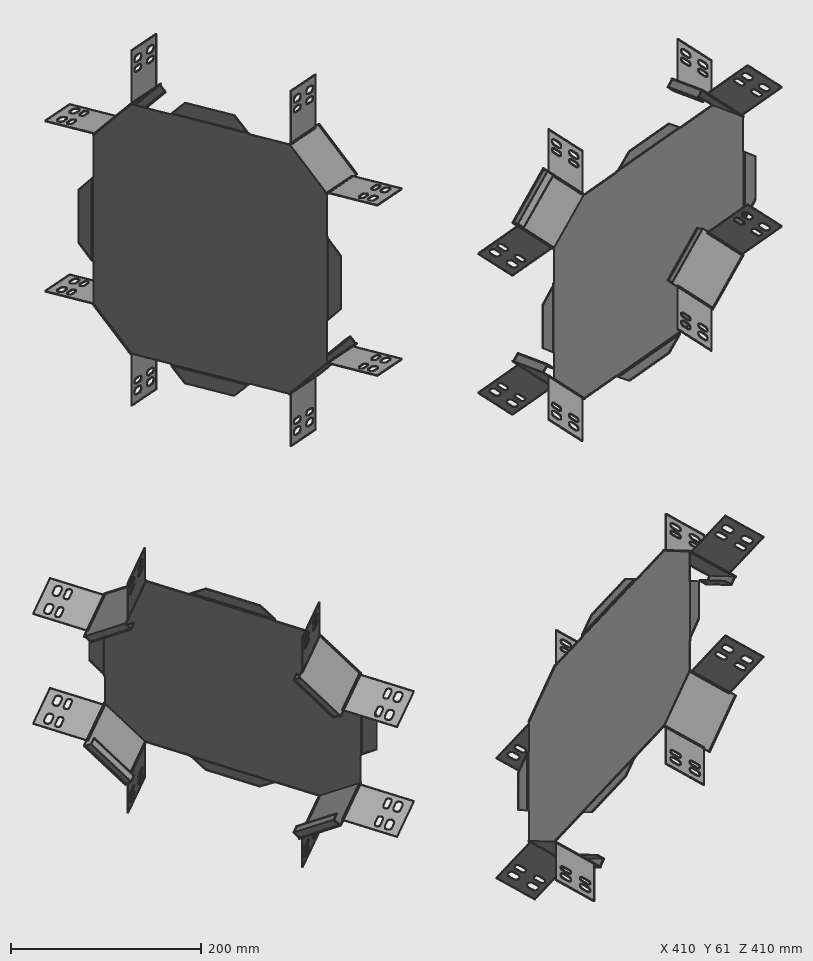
import cadquery as cq
import math

overall_size = 410.0
overall_depth = 61.0
sheet = 1.0
plate_half = 144.0
corner_half = 98.8

lip_width = 10.5
lip_return = 9.0

tab_width = 49.5
tab_front = 2.5
slot_length = 13.5
slot_pitch = 25.0
slot_shift = 0.5
slot_rows = ((13.0, 7.8), (25.0, 6.0))

flap_end = 162.0
flap_end_half_width = 30.5
flap_base_half_width = 50.0
joggle_start = 144.5
joggle_run = sheet

overall_half = overall_size / 2
depth = overall_depth - sheet
side_count = 4


def prism(points, y_start, y_end):
    """Extrude an XZ outline from y_start to y_end."""
    outline = cq.Workplane("XZ", origin=(0, y_start, 0)).polyline(points).close()
    return outline.extrude(y_start - y_end)


def make_plate():
    """Square plate with its four corners cut off."""
    chamfer = plate_half - corner_half
    plate = cq.Workplane("XY").box(2 * plate_half, sheet, 2 * plate_half, centered=(True, False, True))
    return plate.edges("|Y").chamfer(chamfer)


def corner_strip(offset_start, offset_end, y_start, y_end, overrun=0):
    """Strip along the +X +Z chamfer, between two distances inward from it.

    Each end passes the plate corner by the overrun, measured along X and Z.
    """
    shift_start = offset_start / math.sqrt(2)
    shift_end = offset_end / math.sqrt(2)
    far = plate_half + overrun
    near = corner_half - overrun
    points = [
        (far - shift_start, near - shift_start),
        (near - shift_start, far - shift_start),
        (near - shift_end, far - shift_end),
        (far - shift_end, near - shift_end),
    ]
    return prism(points, y_start, y_end)


def make_corner_wall():
    """Wall standing on the chamfer, reaching the inner faces of its tabs, with its folded lip."""
    wall = corner_strip(0, sheet, 0, depth, overrun=sheet)
    lip = corner_strip(0, lip_width, depth - sheet, depth)
    lip_edge = corner_strip(lip_width - sheet, lip_width, depth - lip_return, depth)
    return wall.union(lip).union(lip_edge)


def make_tab():
    """Tab running out along +X from the lower end of the +X +Z corner wall."""
    tab_start = plate_half - sheet
    tab_back = tab_front + tab_width
    tab = cq.Workplane("XY").box(
        overall_half - tab_start, tab_width, sheet, centered=False
    ).translate((tab_start, tab_front, corner_half - sheet))
    slot_middle = (tab_front + tab_back) / 2 + slot_shift
    for end_distance, slot_width in slot_rows:
        slots = (
            cq.Workplane("XY", origin=(overall_half - end_distance, slot_middle, corner_half - sheet))
            .rarray(4, slot_pitch, 1, 2)
            .slot2D(slot_length, slot_width, 90)
            .extrude(sheet)
        )
        tab = tab.cut(slots)
    return tab


def make_flap():
    """Trapezoidal flap on the +Z side of the plate."""
    joggle_end = joggle_start + joggle_run
    flap_base = plate_half - sheet
    profile = [
        (0, flap_base),
        (0, joggle_start),
        (-sheet, joggle_end),
        (-sheet, flap_end),
        (0, flap_end),
        (0, joggle_end),
        (sheet, joggle_start),
        (sheet, flap_base),
    ]
    bent_strip = cq.Workplane("YZ").polyline(profile).close().extrude(flap_base_half_width, both=True)
    outline = [
        (-flap_base_half_width, flap_base),
        (-flap_end_half_width, flap_end),
        (flap_end_half_width, flap_end),
        (flap_base_half_width, flap_base),
    ]
    return bent_strip.intersect(prism(outline, -sheet, sheet))


side_tab = make_tab()
upper_tab = side_tab.mirror("XY").rotate((0, 0, 0), (0, 1, 0), -90)
quarter = [make_corner_wall(), side_tab, upper_tab, make_flap()]

result = make_plate()
for side in range(side_count):
    angle = side * 360 / side_count
    for feature in quarter:
        result = result.union(feature.rotate((0, 0, 0), (0, 1, 0), angle))